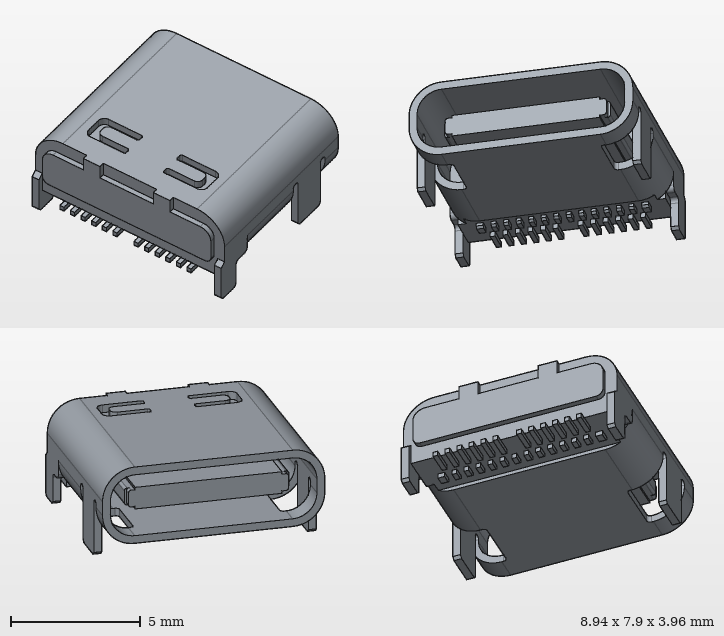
import cadquery as cq


width = 8.94
shell_height = 3.165
shell_radius = 1.3
sheet = 0.32
shell_length = 7.6
half_width = width / 2
inner_half_width = half_width - sheet
mid_z = -shell_height / 2
roll_z = shell_radius - shell_height
roll_end = 6.07
bottom_plate_end = 5.68

cavity_depth = 4.92
housing_bottom = -2.995

plate_end = 7.82
plate_half_width = 3.98
plate_top = -0.6
plate_bottom = -2.28
plate_top_radius = 0.5
plate_bottom_radius = 0.29
tab_center = 1.65
tab_width = 0.79

nose_start = 0.715
tongue_start = 0.98
tongue_half_width = 3.31
nose_step = 0.09
tongue_thickness = 0.7
tongue_radius = 0.11
contact_bed_half_width = 2.95
contact_bed_thickness = 0.89

leg_bottom = -3.96
leg_bevel = 0.12
front_leg = (1.19, 2.69)
window = (0.89, 3.0)
window_inner_x = 2.95
window_radius = 0.14
slot_top = -1.64
slot_radius = 0.125
rear_leg_start = 6.82
rear_leg_shoulder = -2.1
rear_leg_shoulder_drop = 0.18
side_wall_bottom = -2.66
side_wall_radius = 0.215
leg_root_radius = 0.18

u_open_x = 0.89
u_outer_x = 2.81
u_inner_x = 2.405
u_outer = (5.46, 6.67)
u_inner = (5.775, 6.37)
u_outer_radius = 0.29
u_inner_radius = 0.23
u_end_radius = 0.08

pin_pitch = 0.5
pin_width = 0.2
pins_per_side = 6
pin_bottom = -3.2
rear_pin = (6.97, 7.9)
inner_pin = (6.15, 6.61)
inner_pin_bevel = 0.09
end_pin = (3.165, 3.44)


def block(x_range, depth_range, z_range):
    """Box between two X values, two depths behind the mating face and two Z values."""
    x0, x1 = x_range
    d0, d1 = depth_range
    z0, z1 = z_range
    box = cq.Workplane("XY").box(x1 - x0, d1 - d0, z1 - z0, centered=False)
    return box.translate((x0, -d1, z0))


def both_sides(solid):
    return solid.union(solid.mirror("YZ"))


def stadium(inset, depth_range):
    """Rounded shell section, offset inwards by the inset."""
    d0, d1 = depth_range
    half = half_width - inset
    body = block((-half, half), (d0, d1), (inset - shell_height, -inset))
    return body.edges("|Y").fillet(shell_radius - inset)


def make_shell_and_housing():
    """Rolled front with the plug cavity, then a straight-sided rear filled by the housing."""
    front = stadium(0, (0, roll_end)).cut(stadium(sheet, (0, cavity_depth)))
    step = block((-half_width, half_width), (bottom_plate_end, roll_end), (-shell_height, housing_bottom))
    rear_top = block((-half_width, half_width), (roll_end, shell_length), (roll_z, 0))
    rear_top = rear_top.edges("|Y and >Z").fillet(shell_radius)
    rear_bottom = block(
        (-inner_half_width, inner_half_width), (roll_end, shell_length), (housing_bottom, roll_z)
    )
    return front.cut(step).union(rear_top).union(rear_bottom)


def make_rear_plate():
    depth = (shell_length, plate_end)
    plate = block((-plate_half_width, plate_half_width), depth, (plate_bottom, plate_top))
    plate = plate.edges("|Y and >Z").fillet(plate_top_radius)
    plate = plate.edges("|Y and <Z").fillet(plate_bottom_radius)
    tab = block((tab_center - tab_width / 2, tab_center + tab_width / 2), depth, (plate_top, 0))
    return plate.union(both_sides(tab))


def tongue_bar(half, start, thickness):
    z_range = (mid_z - thickness / 2, mid_z + thickness / 2)
    return block((-half, half), (start, cavity_depth), z_range)


def make_tongue():
    nose = tongue_bar(tongue_half_width - nose_step, nose_start, tongue_thickness)
    bar = tongue_bar(tongue_half_width, tongue_start, tongue_thickness)
    contact_bed = tongue_bar(contact_bed_half_width, nose_start, contact_bed_thickness)
    nose = nose.edges("|Y").fillet(tongue_radius)
    bar = bar.edges("|Y").fillet(tongue_radius)
    return nose.union(bar).union(contact_bed)


def make_leg_opening():
    """Window in the rolled corner, with two slots rising beside the front leg."""
    opening = block((window_inner_x, half_width), window, (-shell_height, roll_z))
    opening = opening.edges("|Z and <X").fillet(window_radius)
    for depth_range in ((window[0], front_leg[0]), (front_leg[1], window[1])):
        slot = block((inner_half_width, half_width), depth_range, (roll_z, slot_top))
        opening = opening.union(slot.edges("|X and >Z").fillet(slot_radius))
    return opening


def make_front_leg():
    leg = block((inner_half_width, half_width), front_leg, (leg_bottom, roll_z))
    return leg.edges("|X and <Z").chamfer(leg_bevel)


def make_rear_leg():
    """Flat side wall at the rear with the leg hanging from its end."""
    wall = block((inner_half_width, half_width), (roll_end, shell_length), (side_wall_bottom, roll_z))
    wall = wall.edges("|X and <Z and >Y").fillet(side_wall_radius)
    leg = (
        cq.Workplane("YZ", origin=(inner_half_width, 0, 0))
        .moveTo(-rear_leg_start, side_wall_bottom)
        .lineTo(-rear_leg_start, leg_bottom + leg_bevel)
        .lineTo(-rear_leg_start - leg_bevel, leg_bottom)
        .lineTo(-plate_end + leg_bevel, leg_bottom)
        .lineTo(-plate_end, leg_bottom + leg_bevel)
        .lineTo(-plate_end, rear_leg_shoulder - rear_leg_shoulder_drop)
        .lineTo(-shell_length, rear_leg_shoulder)
        .lineTo(-rear_leg_start, rear_leg_shoulder)
        .close()
        .extrude(sheet)
    )
    root = cq.selectors.NearestToPointSelector((half_width - sheet / 2, -rear_leg_start, side_wall_bottom))
    return wall.union(leg).clean().edges("|X").edges(root).fillet(leg_root_radius)


def make_roof_slot():
    """U-shaped cut that leaves a spring finger pointing outwards."""
    z_range = (-sheet, 0)
    outer = block((u_open_x, u_outer_x), u_outer, z_range)
    outer = outer.edges("|Z and >X").fillet(u_outer_radius)
    finger = block((u_open_x, u_inner_x), u_inner, z_range)
    finger = finger.edges("|Z and >X").fillet(u_inner_radius)
    return outer.cut(finger).edges("|Z and <X").fillet(u_end_radius)


def make_pins():
    z_range = (pin_bottom, housing_bottom)
    row = cq.Workplane("XY")
    for index in range(1, pins_per_side + 1):
        rear_x = index * pin_pitch
        inner_x = rear_x - pin_pitch / 2
        row = row.union(block((rear_x - pin_width / 2, rear_x + pin_width / 2), rear_pin, z_range))
        pin = block((inner_x - pin_width / 2, inner_x + pin_width / 2), inner_pin, z_range)
        row = row.union(pin.edges("|X and <Z and >Y").chamfer(inner_pin_bevel))
    wide_pin = block(end_pin, inner_pin, z_range)
    row = row.union(wide_pin.edges("|X and <Z and >Y").chamfer(inner_pin_bevel))
    return both_sides(row)


result = (
    make_shell_and_housing()
    .cut(both_sides(make_leg_opening()))
    .cut(both_sides(make_roof_slot()))
    .union(make_tongue())
    .union(make_rear_plate())
    .union(both_sides(make_front_leg()))
    .union(both_sides(make_rear_leg()))
    .union(make_pins())
)